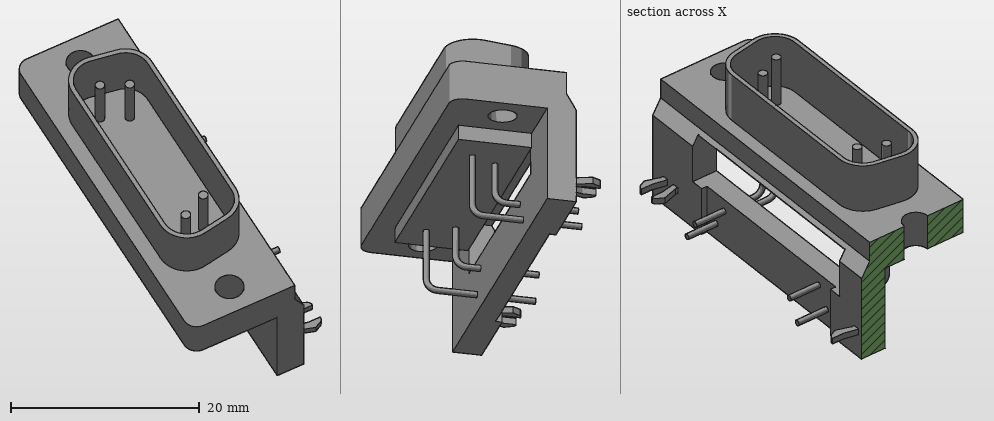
import cadquery as cq
import math


LENGTH = 39.5
FLANGE_DEPTH = 12.52
FLANGE_BOTTOM = 10.6
FLANGE_TOP = 15.0
CORNER_RADIUS = 1.5
LEG_FRONT = 10.4
LEG_REAR = 13.6
SLOPE_BOTTOM = 10.7
SLOPE_TOP = 12.52
REAR_END = 16.8

WINDOW_WIDTH = 25.55
WINDOW_BOTTOM = 6.05
RELIEF_WIDTH = 22.4
RELIEF_DEPTH = 0.7

BLOCK_WIDTH = 26.5
BLOCK_FRONT = 2.37
BLOCK_BOTTOM = 8.93

HOLE_DIAMETER = 3.1
HOLE_X = 16.63
HOLE_Y = 6.32

SHELL_FRONT = 1.65
SHELL_REAR = 11.0
SHELL_FRONT_WIDTH = 27.3
SHELL_ANGLE = 10.0
SHELL_RADIUS = 3.15
SHELL_WALL = 0.5
SHELL_TOP = 21.0
CAVITY_DEPTH = 6.55

MATING_DIAMETER = 1.03
MATING_TOP = 20.45
TAIL_DIAMETER = 0.67
BEND_RADIUS = 1.2
CONTACT_ROWS = [(9.6, 4.85, 2.1), (8.2, 7.7, 4.55)]

CLIP_BOTTOM = 2.95
CLIP_THICKNESS = 0.75
CLIP_ROOT_INNER = 0.5
CLIP_ROOT_OUTER = 1.25
CLIP_TIP_INNER = 0.85
CLIP_TIP_OUTER = 1.05
CLIP_BARB = 1.85
CLIP_ROOT_LENGTH = 0.3
CLIP_BARB_REACH = 2.15
CLIP_INNER_KINK = 1.75
CLIP_ROUND_MIDDLE = (0.28, 0.15)
CLIP_ROUND_END = (0.47, 0.47)


def box(width, y_start, y_end, z_start, z_end):
    """Block centred on X = 0 between the given Y and Z limits."""
    block = cq.Workplane("XY").box(width, y_end - y_start, z_end - z_start, centered=(True, False, False))
    return block.translate((0, y_start, z_start))


def make_bracket():
    """Flange and leg in one profile, with rounded front corners."""
    profile = [
        (0, FLANGE_BOTTOM),
        (0, FLANGE_TOP),
        (FLANGE_DEPTH, FLANGE_TOP),
        (FLANGE_DEPTH, SLOPE_TOP),
        (LEG_REAR, SLOPE_BOTTOM),
        (LEG_REAR, 0),
        (LEG_FRONT, 0),
        (LEG_FRONT, FLANGE_BOTTOM),
    ]
    bracket = cq.Workplane("YZ").polyline(profile).close().extrude(LENGTH / 2, both=True)
    return bracket.edges("|Z and <Y").fillet(CORNER_RADIUS)


def make_window():
    """Window whose top edge meets the sloped rear face directly above the relief."""
    slope = (SLOPE_TOP - SLOPE_BOTTOM) / (LEG_REAR - FLANGE_DEPTH)
    window_top = SLOPE_BOTTOM + slope * RELIEF_DEPTH
    return box(WINDOW_WIDTH, LEG_FRONT, LEG_REAR, WINDOW_BOTTOM, window_top)


def make_relief():
    """Recess in the rear face, from the window down to the foot."""
    return box(RELIEF_WIDTH, LEG_REAR - RELIEF_DEPTH, LEG_REAR, 0, WINDOW_BOTTOM)


def make_holes():
    holes = cq.Workplane("XY").workplane(offset=FLANGE_BOTTOM)
    holes = holes.pushPoints([(-HOLE_X, HOLE_Y), (HOLE_X, HOLE_Y)])
    return holes.circle(HOLE_DIAMETER / 2).extrude(FLANGE_TOP - FLANGE_BOTTOM)


def make_solid_shell():
    """Trapezoid with rounded corners, as a solid that stands on the flange."""
    front_half = SHELL_FRONT_WIDTH / 2
    rear_half = front_half - (SHELL_REAR - SHELL_FRONT) * math.tan(math.radians(SHELL_ANGLE))
    corners = [
        (-front_half, SHELL_FRONT),
        (front_half, SHELL_FRONT),
        (rear_half, SHELL_REAR),
        (-rear_half, SHELL_REAR),
    ]
    shell = cq.Workplane("XY").workplane(offset=FLANGE_TOP).polyline(corners).close()
    return shell.extrude(SHELL_TOP - FLANGE_TOP).edges("|Z").fillet(SHELL_RADIUS)


def make_cavity(shell):
    """Inside of the shell, running slightly into the flange."""
    rim = shell.faces(">Z").wires().toPending().offset2D(-SHELL_WALL)
    return rim.extrude(-CAVITY_DEPTH, combine=False)


def make_contact(x, y, tail_z):
    """Mating pin on top; a tail that drops from the block and bends to the rear."""
    pin = cq.Workplane("XY", origin=(x, y, FLANGE_BOTTOM)).circle(MATING_DIAMETER / 2)
    pin = pin.extrude(MATING_TOP - FLANGE_BOTTOM)
    corner_offset = BEND_RADIUS * (1 - math.sqrt(0.5))
    path = (
        cq.Workplane("YZ", origin=(x, 0, 0))
        .moveTo(y, FLANGE_BOTTOM)
        .lineTo(y, tail_z + BEND_RADIUS)
        .threePointArc((y + corner_offset, tail_z + corner_offset), (y + BEND_RADIUS, tail_z))
        .lineTo(REAR_END, tail_z)
    )
    tail = cq.Workplane("XY", origin=(x, y, FLANGE_BOTTOM)).circle(TAIL_DIAMETER / 2).sweep(path)
    return pin.union(tail)


def make_clip(x):
    """Pair of mirrored barbed prongs behind the leg."""
    round_middle = (CLIP_TIP_OUTER + CLIP_ROUND_MIDDLE[0], REAR_END - CLIP_ROUND_MIDDLE[1])
    round_end = (CLIP_TIP_OUTER + CLIP_ROUND_END[0], REAR_END - CLIP_ROUND_END[1])
    prong = (
        cq.Workplane("XY", origin=(0, 0, CLIP_BOTTOM))
        .moveTo(CLIP_ROOT_INNER, LEG_REAR)
        .lineTo(CLIP_TIP_INNER, LEG_REAR + CLIP_INNER_KINK)
        .lineTo(CLIP_TIP_INNER, REAR_END)
        .lineTo(CLIP_TIP_OUTER, REAR_END)
        .threePointArc(round_middle, round_end)
        .lineTo(CLIP_BARB, LEG_REAR + CLIP_BARB_REACH)
        .lineTo(CLIP_ROOT_OUTER, LEG_REAR + CLIP_ROOT_LENGTH)
        .lineTo(CLIP_ROOT_OUTER, LEG_REAR)
        .close()
        .extrude(CLIP_THICKNESS)
    )
    return prong.union(prong.mirror("YZ")).translate((x, 0, 0))


result = make_bracket().cut(make_window()).cut(make_relief()).cut(make_holes())
result = result.union(box(BLOCK_WIDTH, BLOCK_FRONT, LEG_FRONT, BLOCK_BOTTOM, FLANGE_BOTTOM))
solid_shell = make_solid_shell()
result = result.union(solid_shell).cut(make_cavity(solid_shell))
for side in (-1, 1):
    result = result.union(make_clip(side * HOLE_X))
    for row_x, row_y, row_tail_z in CONTACT_ROWS:
        result = result.union(make_contact(side * row_x, row_y, row_tail_z))